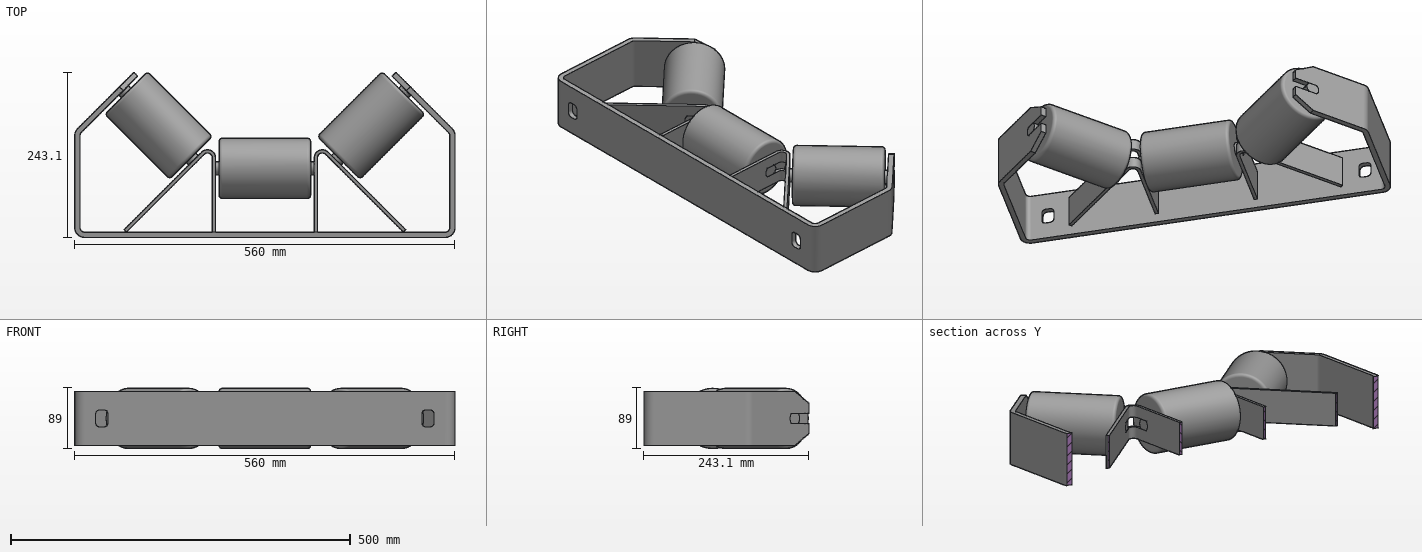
import cadquery as cq
import math

overall_width = 560.0
overall_depth = 243.14

frame_thickness = 8.0
frame_height = 80.0
frame_inner_bend = 7.0
arm_corner_y = 155.9
arm_angle = 45.0
tip_half_height = 22.5
tip_taper_length = 30.0
mount_hole_spacing = 480.0
mount_hole_width = 18.0
mount_hole_height = 25.0
mount_hole_corner = 6.0

bracket_thickness = 5.0
bracket_height = 50.0
bracket_inner_bend = 7.0

roller_diameter = 89.0
roller_length = 135.0
roller_edge_radius = 5.0
shaft_diameter = 20.0
shaft_flats = 15.0
support_span = 145.0
arm_clearance = 0.5
middle_roller_y = 101.8
side_roller_from_tip = 29.5

slot_reach = 60.0
slot_overrun = 20.0

lean = math.radians(arm_angle)
slope_x = math.cos(lean)
slope_y = math.sin(lean)

tip_y = overall_depth
tip_x = -overall_width / 2 + (tip_y - arm_corner_y) / math.tan(lean)
inward_x = slope_y
inward_y = -slope_x

side_roller_offset = frame_thickness + arm_clearance + support_span / 2
side_roller_x = tip_x - side_roller_from_tip * slope_x + side_roller_offset * inward_x
side_roller_y = tip_y - side_roller_from_tip * slope_y + side_roller_offset * inward_y


def bent_sheet(points, bend_radius, thickness, height):
    """Sheet standing along Z whose mid-plane follows the points, with rounded bends."""
    path = cq.Workplane("XY").moveTo(*points[0])
    for before, corner, after in zip(points, points[1:], points[2:]):
        corner = cq.Vector(*corner)
        to_before = (cq.Vector(*before) - corner).normalized()
        to_after = (cq.Vector(*after) - corner).normalized()
        half_angle = to_before.getAngle(to_after) / 2
        setback = bend_radius / math.tan(half_angle)
        bend_start = corner + to_before * setback
        bend_end = corner + to_after * setback
        path = path.lineTo(bend_start.x, bend_start.y)
        path = path.tangentArcPoint((bend_end.x, bend_end.y), relative=False)
    path = path.lineTo(*points[-1])

    start = cq.Vector(*points[0])
    section_plane = cq.Plane(origin=start, xDir=(0, 0, 1), normal=cq.Vector(*points[1]) - start)
    return cq.Workplane(section_plane).rect(height, thickness).sweep(path)


def mirrored(body):
    return body.mirror("YZ")


def place_middle(body):
    return body.translate((0, middle_roller_y, 0))


def place_left(body):
    return body.rotate((0, 0, 0), (0, 0, 1), arm_angle - 90).translate((side_roller_x, side_roller_y, 0))


def round_bar(diameter, length):
    """Cylinder along X, centred on the origin."""
    return cq.Workplane("YZ", origin=(-length / 2, 0, 0)).circle(diameter / 2).extrude(length)



def flatted_bar(length):
    """Round bar along X with a flat on its top and its bottom."""
    bar = round_bar(shaft_diameter, length)
    return bar.intersect(cq.Workplane("XY").box(length, shaft_diameter, shaft_flats))


def slot_cutter():
    """Seat for the shaft flats, continued as an open slot."""
    length = support_span + 2 * slot_overrun
    opening = cq.Workplane("XY").box(length, slot_reach, shaft_flats, centered=(True, False, True))
    return flatted_bar(length).union(opening)



def roller(left_reach, right_reach):
    """Roller along X; each shaft end continues past its shoulder by the given reach."""
    shell = round_bar(roller_diameter, roller_length)
    shell = shell.faces("<X or >X").edges().fillet(roller_edge_radius)
    round_shaft = round_bar(shaft_diameter, support_span)
    end_shift = (right_reach - left_reach) / 2
    flat_shaft = flatted_bar(support_span + left_reach + right_reach).translate((end_shift, 0, 0))
    return shell.union(round_shaft).union(flat_shaft)


middle_roller = place_middle(roller(bracket_thickness, bracket_thickness))
left_roller = place_left(roller(arm_clearance + frame_thickness, bracket_thickness))
right_roller = mirrored(left_roller)

middle_slot = place_middle(slot_cutter())
left_slot = place_left(slot_cutter())



def tip_trim():
    """Two wedges that taper the end of the left arm."""
    run = tip_taper_length
    side = frame_height / 2
    arm_plane = cq.Plane(origin=(tip_x, tip_y, 0), xDir=(slope_x, slope_y, 0), normal=(inward_x, inward_y, 0))
    wedge = (
        cq.Workplane(arm_plane)
        .polyline([(-run, side), (0, tip_half_height), (0, side)])
        .close()
        .extrude(frame_thickness)
    )
    return wedge.union(wedge.mirror("XY"))


def build_frame():
    half = frame_thickness / 2
    wall_x = -overall_width / 2 + half
    corner_y = arm_corner_y - half * math.tan(lean / 2)
    left_points = [
        (tip_x + half * inward_x, tip_y + half * inward_y),
        (wall_x, corner_y),
        (wall_x, half),
    ]
    right_points = [(-x, y) for x, y in reversed(left_points)]
    body = bent_sheet(left_points + right_points, frame_inner_bend + half, frame_thickness, frame_height)

    for cutter in (tip_trim(), left_slot):
        body = body.cut(cutter).cut(mirrored(cutter))

    for side in (-1, 1):
        hole = (
            cq.Workplane("XY")
            .box(mount_hole_width, frame_thickness, mount_hole_height, centered=(True, False, True))
            .edges("|Y")
            .fillet(mount_hole_corner)
            .translate((side * mount_hole_spacing / 2, 0, 0))
        )
        body = body.cut(hole)
    return body


frame = build_frame()



def build_left_bracket():
    """Upright leg beside the middle roller, folded over into a leg parallel to the arm."""
    half = bracket_thickness / 2
    upright_x = -support_span / 2 - half
    leg_offset = support_span / 2 + half
    leg_x = side_roller_x + leg_offset * inward_x
    leg_y = side_roller_y + leg_offset * inward_y
    fold_y = leg_y + (upright_x - leg_x) * math.tan(lean)
    foot_y = frame_thickness + half * slope_x
    foot_x = leg_x + (foot_y - leg_y) / math.tan(lean)
    points = [(upright_x, frame_thickness), (upright_x, fold_y), (foot_x, foot_y)]
    body = bent_sheet(points, bracket_inner_bend + half, bracket_thickness, bracket_height)
    return body.cut(middle_slot).cut(left_slot)


left_bracket = build_left_bracket()
right_bracket = mirrored(left_bracket)

result = cq.Compound.makeCompound([
    frame.val(),
    left_bracket.val(),
    right_bracket.val(),
    left_roller.val(),
    middle_roller.val(),
    right_roller.val(),
])